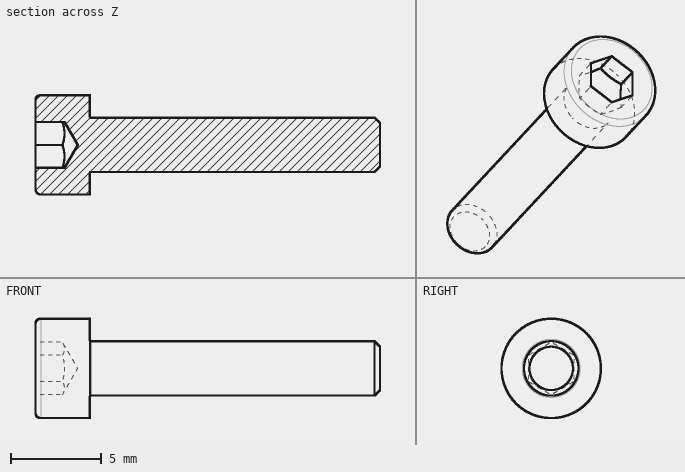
import cadquery as cq
import math

total_length = 19.0
head_diameter = 5.5
head_height = 3.0
head_edge_radius = 0.3
shank_diameter = 3.0
tip_chamfer = 0.3
neck_fillet = 0.1
socket_across_flats = 2.5
socket_corner_depth = 1.5
socket_cone_half_angle = 60.0

socket_across_corners = socket_across_flats / math.cos(math.radians(30))


def make_body():
    """Revolved head and shank, with rounded head rim, neck fillet and chamfered tip."""
    head_radius = head_diameter / 2
    shank_radius = shank_diameter / 2
    diagonal = math.sqrt(0.5)
    rim_middle = (
        head_edge_radius * (1 - diagonal),
        head_radius - head_edge_radius * (1 - diagonal),
    )
    neck_middle = (
        head_height + neck_fillet * (1 - diagonal),
        shank_radius + neck_fillet * (1 - diagonal),
    )
    return (
        cq.Workplane("XY")
        .lineTo(0, head_radius - head_edge_radius)
        .threePointArc(rim_middle, (head_edge_radius, head_radius))
        .lineTo(head_height, head_radius)
        .lineTo(head_height, shank_radius + neck_fillet)
        .threePointArc(neck_middle, (head_height + neck_fillet, shank_radius))
        .lineTo(total_length - tip_chamfer, shank_radius)
        .lineTo(total_length, shank_radius - tip_chamfer)
        .lineTo(total_length, 0)
        .close()
        .revolve(360, (0, 0, 0), (1, 0, 0))
    )


def make_socket():
    """Hexagonal socket with corners toward +Z and -Z, its conical bottom starting at the corners."""
    cone_radius = socket_across_corners / 2
    cone_depth = cone_radius / math.tan(math.radians(socket_cone_half_angle))
    tip_depth = socket_corner_depth + cone_depth
    hexagon = (
        cq.Workplane("YZ")
        .transformed(rotate=(0, 0, 90))
        .polygon(6, socket_across_corners)
        .extrude(tip_depth)
    )
    pointed_cylinder = (
        cq.Workplane("XY")
        .lineTo(0, cone_radius)
        .lineTo(socket_corner_depth, cone_radius)
        .lineTo(tip_depth, 0)
        .close()
        .revolve(360, (0, 0, 0), (1, 0, 0))
    )
    return hexagon.intersect(pointed_cylinder)


result = make_body().cut(make_socket())